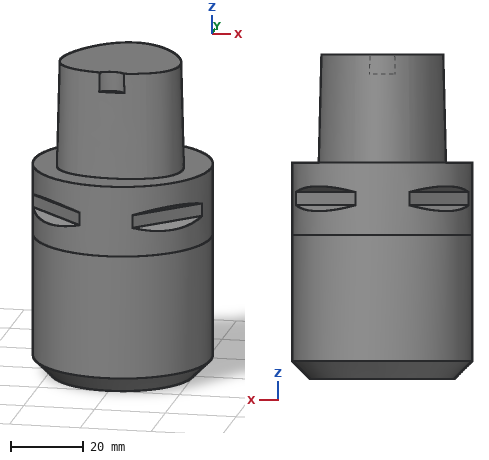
import cadquery as cq
import math

BODY_DIAMETER = 49.98
FLANGE_DIAMETER = 50.0
BODY_HEIGHT = 40.0
FLANGE_HEIGHT = 20.0
END_CHAMFER = 5.0

SHANK_HEIGHT = 30.0
SHANK_MEAN_DIAMETER = 35.0
LOBE_OFFSET = 1.2
TAPER_PER_LENGTH = 1 / 20
FACE_COUNT = 6
POINTS_PER_FACE = 9

GROOVE_COUNT = 4
GROOVE_FIRST_ANGLE = 45.0
GROOVE_FLOOR_DISTANCE = 22.15
GROOVE_FLOOR_WIDTH = 3.6
GROOVE_SIDE_ANGLE = 30.0
GROOVE_CUT_MARGIN = 1.0

NOTCH_RADIUS = 5.0
NOTCH_HEIGHT = 5.5
NOTCH_DEEPEST_Y = -14.0

flange_top = BODY_HEIGHT + FLANGE_HEIGHT
shank_top = flange_top + SHANK_HEIGHT
groove_height = BODY_HEIGHT + FLANGE_HEIGHT / 2


def cylindrical_base():
    body = cq.Workplane("XY").circle(BODY_DIAMETER / 2).extrude(BODY_HEIGHT)
    body = body.faces("<Z").chamfer(END_CHAMFER)
    flange = (
        cq.Workplane("XY")
        .workplane(offset=BODY_HEIGHT)
        .circle(FLANGE_DIAMETER / 2)
        .extrude(FLANGE_HEIGHT)
    )
    return body.union(flange)


def section_point(angle, mean_radius, z):
    """Point of the three-lobed curve; the angle is measured from +Y."""
    x = mean_radius * math.sin(angle) - LOBE_OFFSET * math.sin(2 * angle)
    y = mean_radius * math.cos(angle) + LOBE_OFFSET * math.cos(2 * angle)
    return cq.Vector(x, y, z)


def section_tangent(angle, mean_radius):
    x = mean_radius * math.cos(angle) - 2 * LOBE_OFFSET * math.cos(2 * angle)
    y = -mean_radius * math.sin(angle) - 2 * LOBE_OFFSET * math.sin(2 * angle)
    return cq.Vector(x, y, 0)


def shank_section(mean_radius, z):
    """Closed section made of one smooth curve per lobe and per flank."""
    face_angle = 2 * math.pi / FACE_COUNT
    edges = []
    for face in range(FACE_COUNT):
        start = (face - 0.5) * face_angle
        angles = [start + face_angle * i / (POINTS_PER_FACE - 1) for i in range(POINTS_PER_FACE)]
        points = [section_point(angle, mean_radius, z) for angle in angles]
        tangents = [section_tangent(angle, mean_radius) for angle in (angles[0], angles[-1])]
        edges.append(cq.Edge.makeSpline(points, tangents=tangents))
    return cq.Wire.assembleEdges(edges)


def shank():
    base_radius = SHANK_MEAN_DIAMETER / 2
    top_radius = base_radius - SHANK_HEIGHT * TAPER_PER_LENGTH / 2
    sections = [shank_section(base_radius, flange_top), shank_section(top_radius, shank_top)]
    return cq.Workplane(obj=cq.Solid.makeLoft(sections, True))


def gripper_groove(angle):
    """Trapezoidal cutter that widens outward, lying tangentially at the given angle."""
    outer_distance = FLANGE_DIAMETER / 2 + GROOVE_CUT_MARGIN
    depth = outer_distance - GROOVE_FLOOR_DISTANCE
    floor_half = GROOVE_FLOOR_WIDTH / 2
    outer_half = floor_half + depth * math.tan(math.radians(GROOVE_SIDE_ANGLE))
    return (
        cq.Workplane("XZ")
        .moveTo(GROOVE_FLOOR_DISTANCE, groove_height - floor_half)
        .lineTo(outer_distance, groove_height - outer_half)
        .lineTo(outer_distance, groove_height + outer_half)
        .lineTo(GROOVE_FLOOR_DISTANCE, groove_height + floor_half)
        .close()
        .extrude(FLANGE_DIAMETER / 2, both=True)
        .rotate((0, 0, 0), (0, 0, 1), angle)
    )


def orientation_notch():
    return (
        cq.Workplane("XY")
        .workplane(offset=shank_top - NOTCH_HEIGHT)
        .center(0, NOTCH_DEEPEST_Y - NOTCH_RADIUS)
        .circle(NOTCH_RADIUS)
        .extrude(NOTCH_HEIGHT)
    )


result = cylindrical_base().union(shank())
for index in range(GROOVE_COUNT):
    result = result.cut(gripper_groove(GROOVE_FIRST_ANGLE + index * 360 / GROOVE_COUNT))
result = result.cut(orientation_notch())